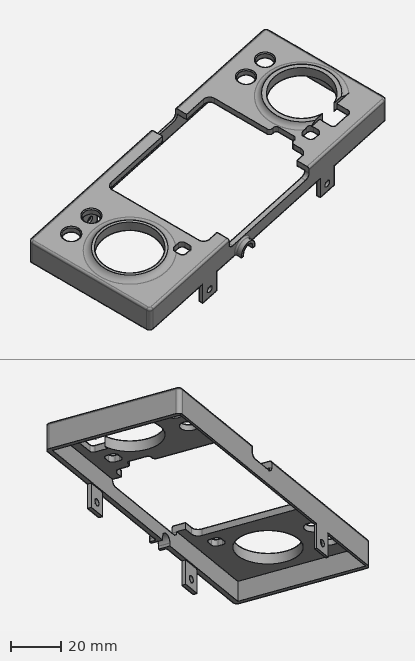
import cadquery as cq
import math

LENGTH = 150.0
WIDTH = 62.0
HEIGHT = 12.0
PLATE = 3.0
LEFT_WALL = 1.0
END_WALL = 2.0
RIGHT_WALL = 2.3
CORNER_RADIUS = 1.8
TOP_ROUND = 1.0
LEFT = -WIDTH / 2
RIGHT = WIDTH / 2

BORE_RADIUS = 14.0
RING_X = 4.0
RING_Y = 54.5
RING_HEIGHT = 1.8
UPPER_RING_CREST, UPPER_RING_FOOT = 15.9, 18.8
LOWER_RING_CREST, LOWER_RING_FOOT = 15.2, 18.5
RING_FLAT_X = 17.5

WINDOW_LEFT, WINDOW_RIGHT = -25.2, 24.8
WINDOW_TOP, WINDOW_BOTTOM = 31.8, -32.7
WINDOW_RADIUS = 3.0
RELIEF_LEFT, RELIEF_RIGHT = 6.2, 16.8
RELIEF_DEPTH = 3.6
RELIEF_RADIUS = 1.5
BORE_NOTCH_HEIGHT = 11.0
BORE_NOTCH_RADIUS = 1.5
SQUARE_X = 19.5
SQUARE_WIDTH, SQUARE_HEIGHT = 6.0, 6.3
SQUARE_RADIUS = 2.0
SQUARE_YS = (41.0, -40.4)
SMALL_HOLE_X = -19.8
SMALL_HOLE_YS = (60.9, 48.9, -49.0, -61.8)
SMALL_HOLE_RADIUS = 3.8
SMALL_HOLE_CHAMFER = 0.5

SADDLE_DEPTH = 5.4
SADDLE_RADIUS = 2.3
LEFT_SADDLE_Y = (2.7, 18.0)
RIGHT_SADDLE_Y = (-24.9, 25.7)

TAB_WIDTH = 9.0
TAB_DROP = 11.0
TAB_Y = 37.2
RIGHT_TAB_THICKNESS = 1.8
TAB_HOLE_RADIUS = 1.5
TAB_HOLE_DROP = 6.6

LUG_Y = -16.7
LUG_Z = 1.4
LUG_RADIUS = 4.2
LUG_LENGTH = 3.0
LUG_FILLET = 0.8
LUG_BORE_RADIUS = 2.9


def block(x, y, z):
    """Box spanning three (low, high) ranges."""
    size = [high - low for low, high in (x, y, z)]
    return cq.Workplane("XY").box(*size, centered=False).translate((x[0], y[0], z[0]))


def shell():
    outer = (
        cq.Workplane("XY").box(WIDTH, LENGTH, HEIGHT, centered=(True, True, False))
        .edges("|Z").fillet(CORNER_RADIUS)
        .faces(">Z").edges().fillet(TOP_ROUND)
    )
    end = LENGTH / 2 - END_WALL
    inside = block((LEFT + LEFT_WALL, RIGHT - RIGHT_WALL), (-end, end), (0, HEIGHT - PLATE))
    return outer.cut(inside)


def ring(y, crest, foot):
    """Ring whose concave flank meets the plate tangentially."""
    run = foot - crest
    flank_radius = (run**2 + RING_HEIGHT**2) / (2 * RING_HEIGHT)
    half_angle = math.atan2(RING_HEIGHT, run)
    middle = (
        foot - flank_radius * math.sin(half_angle),
        HEIGHT + flank_radius * (1 - math.cos(half_angle)),
    )
    base = HEIGHT - PLATE
    return (
        cq.Workplane("XZ")
        .moveTo(BORE_RADIUS, base).lineTo(foot, base).lineTo(foot, HEIGHT)
        .threePointArc(middle, (crest, HEIGHT + RING_HEIGHT))
        .lineTo(BORE_RADIUS, HEIGHT + RING_HEIGHT)
        .close()
        .revolve(360, (0, 0, 0), (0, 1, 0))
        .translate((RING_X, y, 0))
    )


def plate_cutter(x, y, radius):
    """Round-cornered rectangular cutter through the plate and the rings."""
    top = HEIGHT + RING_HEIGHT
    return block(x, y, (HEIGHT - PLATE, top)).edges("|Z").fillet(radius)


def square_hole(y):
    half_x, half_y = SQUARE_WIDTH / 2, SQUARE_HEIGHT / 2
    return plate_cutter(
        (SQUARE_X - half_x, SQUARE_X + half_x), (y - half_y, y + half_y), SQUARE_RADIUS
    )


def bore_notch():
    """Notch beside the upper bore, square where it opens into the bore."""
    half = BORE_NOTCH_HEIGHT / 2
    return (
        block((RING_FLAT_X, WINDOW_RIGHT), (RING_Y - half, RING_Y + half),
              (HEIGHT - PLATE, HEIGHT + RING_HEIGHT))
        .edges("|Z and >X").fillet(BORE_NOTCH_RADIUS)
    )


def window():
    """Central window with a shallow relief in its upper edge."""
    opening = plate_cutter(
        (WINDOW_LEFT, WINDOW_RIGHT), (WINDOW_BOTTOM, WINDOW_TOP), WINDOW_RADIUS
    )
    relief = block(
        (RELIEF_LEFT, RELIEF_RIGHT), (0, WINDOW_TOP + RELIEF_DEPTH),
        (HEIGHT - PLATE, HEIGHT + RING_HEIGHT),
    )
    mouth = cq.selectors.BoxSelector(
        (RELIEF_LEFT - RELIEF_RADIUS, WINDOW_TOP - RELIEF_RADIUS, 0),
        (RELIEF_RIGHT + RELIEF_RADIUS, WINDOW_TOP + RELIEF_DEPTH + RELIEF_RADIUS, 2 * HEIGHT),
    )
    return opening.union(relief).edges("|Z").edges(mouth).fillet(RELIEF_RADIUS)


def small_hole(y):
    hole = cq.Workplane("XY").circle(SMALL_HOLE_RADIUS).extrude(HEIGHT)
    rim = (
        cq.Workplane("XY").workplane(offset=HEIGHT - SMALL_HOLE_CHAMFER)
        .circle(SMALL_HOLE_RADIUS)
        .workplane(offset=SMALL_HOLE_CHAMFER)
        .circle(SMALL_HOLE_RADIUS + SMALL_HOLE_CHAMFER)
        .loft()
    )
    return hole.union(rim).translate((SMALL_HOLE_X, y, 0))


def saddle(x, y):
    """Cut that lowers a wall, with rounded lower corners."""
    return (
        block(x, y, (HEIGHT - SADDLE_DEPTH, HEIGHT + RING_HEIGHT))
        .edges("|X and <Z").fillet(SADDLE_RADIUS)
    )


def tab(x, y):
    plate = block(x, (y - TAB_WIDTH / 2, y + TAB_WIDTH / 2), (-TAB_DROP, HEIGHT - SADDLE_DEPTH))
    hole = (
        cq.Workplane("YZ").center(y, -TAB_HOLE_DROP)
        .circle(TAB_HOLE_RADIUS).extrude(WIDTH, both=True)
    )
    return plate.cut(hole)


def lug():
    """Round-topped boss filleted into the right wall, with straight sides below its axis."""
    foot = LUG_RADIUS + LUG_FILLET
    inset = LUG_FILLET * (1 - math.sqrt(0.5))
    root = RIGHT - RIGHT_WALL
    half_profile = (
        cq.Workplane("XY")
        .moveTo(root, 0).lineTo(root, foot).lineTo(RIGHT, foot)
        .threePointArc((RIGHT + inset, LUG_RADIUS + inset), (RIGHT + LUG_FILLET, LUG_RADIUS))
        .lineTo(RIGHT + LUG_LENGTH, LUG_RADIUS)
        .lineTo(RIGHT + LUG_LENGTH, 0)
        .close()
    )
    half_base = half_profile.extrude(-LUG_Z)
    dome = half_profile.toPending().revolve(180, (0, 0, 0), (1, 0, 0))
    boss = dome.union(half_base).union(half_base.mirror("XZ"))
    return boss.translate((0, LUG_Y, LUG_Z))


def lug_passage():
    """Round-topped passage through the lug and the wall, open at the bottom."""
    start = RIGHT - RIGHT_WALL
    end = RIGHT + LUG_LENGTH
    arch = (
        cq.Workplane("YZ").workplane(offset=start).center(LUG_Y, LUG_Z)
        .circle(LUG_BORE_RADIUS).extrude(end - start)
    )
    sides = block((start, end), (LUG_Y - LUG_BORE_RADIUS, LUG_Y + LUG_BORE_RADIUS), (-LUG_Z, LUG_Z))
    return arch.union(sides)


body = shell()

upper_ring = ring(RING_Y, UPPER_RING_CREST, UPPER_RING_FOOT)
beyond_flat = block((RING_FLAT_X, RIGHT), (0, LENGTH), (HEIGHT, 2 * HEIGHT))
body = body.union(upper_ring.cut(beyond_flat))
body = body.union(ring(-RING_Y, LOWER_RING_CREST, LOWER_RING_FOOT))

for bore_y in (RING_Y, -RING_Y):
    bore = cq.Workplane("XY").circle(BORE_RADIUS).extrude(2 * HEIGHT)
    body = body.cut(bore.translate((RING_X, bore_y, 0)))
body = body.cut(bore_notch()).cut(window())
for square_y in SQUARE_YS:
    body = body.cut(square_hole(square_y))
for hole_y in SMALL_HOLE_YS:
    body = body.cut(small_hole(hole_y))
body = body.cut(saddle((LEFT, WINDOW_LEFT), LEFT_SADDLE_Y))
body = body.cut(saddle((WINDOW_RIGHT, RIGHT), RIGHT_SADDLE_Y))

body = body.union(tab((LEFT, LEFT + LEFT_WALL), -TAB_Y))
for tab_y in (TAB_Y, -TAB_Y):
    body = body.union(tab((RIGHT - RIGHT_TAB_THICKNESS, RIGHT), tab_y))

result = body.union(lug()).cut(lug_passage())